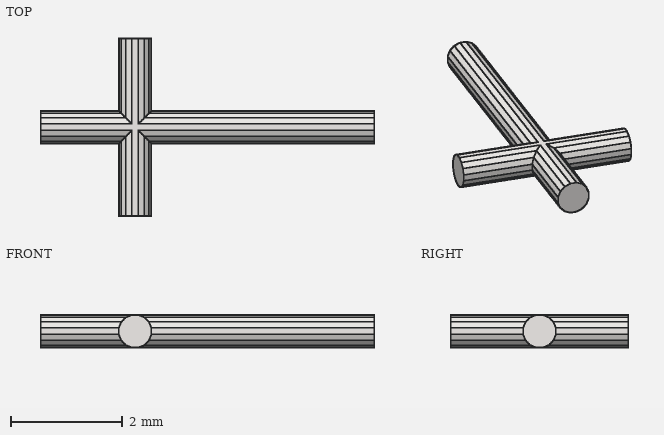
import cadquery as cq

side_count = 16
corner_diameter = 0.6
long_bar_length = 6.0
cross_bar_length = 3.2
short_arm_length = 1.7

half_facet_angle = 180.0 / side_count


def faceted_bar(length):
    """Regular prism along Z, starting at the origin, with facets facing X and Y."""
    bar = cq.Workplane("XY").polygon(side_count, corner_diameter).extrude(length)
    return bar.rotate((0, 0, 0), (0, 0, 1), half_facet_angle)


long_bar = (
    faceted_bar(long_bar_length)
    .rotate((0, 0, 0), (0, 1, 0), 90)
    .translate((-short_arm_length, 0, 0))
)
cross_bar = (
    faceted_bar(cross_bar_length)
    .rotate((0, 0, 0), (1, 0, 0), -90)
    .translate((0, -cross_bar_length / 2, 0))
)

result = long_bar.union(cross_bar)